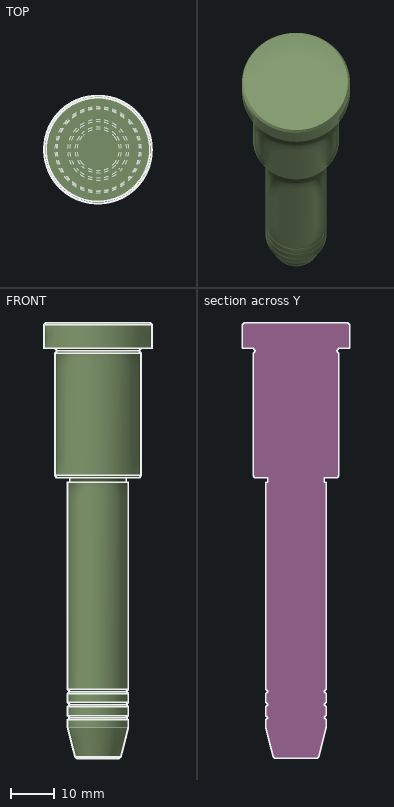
import cadquery as cq

total_height = 101.0
head_height = 6.0
head_underside = total_height - head_height
neck_height = 1.2
body_top = head_underside - neck_height
body_bottom = 65.0
relief_height = 1.0
pin_top = body_bottom - relief_height
nose_height = 7.3

head_radius = 12.5
body_radius = 10.0
pin_radius = 7.1
relief_depth = 0.5
nose_end_radius = 5.4

head_chamfer = 0.5
body_chamfer_height = 0.6
body_chamfer_depth = 0.3
tip_chamfer = 0.5

neck_depth = 0.5

groove_width = 1.0
groove_depth = 0.5
groove_count = 3
groove_pitch = 3.0
lowest_groove = 9.5


def make_pin():
    """Revolve the headed, stepped pin about the Z axis."""
    tip_radius = nose_end_radius - tip_chamfer
    relief_radius = pin_radius - relief_depth
    body_end_radius = body_radius - body_chamfer_depth
    return (
        cq.Workplane("XZ")
        .lineTo(tip_radius, 0)
        .lineTo(nose_end_radius, tip_chamfer)
        .lineTo(pin_radius, nose_height)
        .lineTo(pin_radius, pin_top)
        .lineTo(relief_radius, pin_top)
        .lineTo(relief_radius, body_bottom)
        .lineTo(body_end_radius, body_bottom)
        .lineTo(body_radius, body_bottom + body_chamfer_height)
        .lineTo(body_radius, head_underside)
        .lineTo(head_radius, head_underside)
        .lineTo(head_radius, total_height - head_chamfer)
        .lineTo(head_radius - head_chamfer, total_height)
        .lineTo(0, total_height)
        .close()
        .revolve(360, (0, 0), (0, 1))
    )


def make_groove(surface_radius, level, width, depth):
    """Ring that cuts a V groove, centred on the given level, into a cylinder."""
    return (
        cq.Workplane("XZ")
        .moveTo(surface_radius, level - width / 2)
        .lineTo(surface_radius - depth, level)
        .lineTo(surface_radius, level + width / 2)
        .close()
        .revolve(360, (0, 0), (0, 1))
    )


neck_level = (body_top + head_underside) / 2
result = make_pin().cut(make_groove(body_radius, neck_level, neck_height, neck_depth))
for index in range(groove_count):
    groove_level = lowest_groove + index * groove_pitch
    result = result.cut(make_groove(pin_radius, groove_level, groove_width, groove_depth))